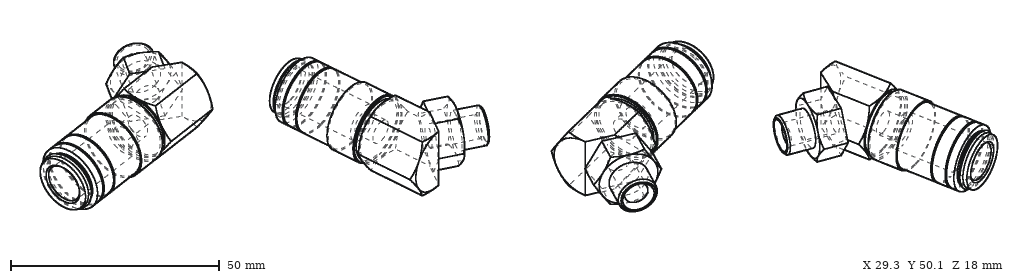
import cadquery as cq
import math

BODY_HEX_FLATS = 17.05
BODY_HEX_START = 27.95
BODY_HEX_END = 45.0
CHAMFER_ANGLE = 30.0

TAIL_RADIUS = 7.1
TAIL_NECK_RADIUS = 7.0
RIDGE_RADIUS = 7.55
RIDGE_START = 1.1
RIDGE_CENTER = 1.65
RIDGE_END = 2.3
SLEEVE_START = 2.75
SLEEVE_RADIUS = 8.55
COLLAR_START = 18.7
COLLAR_END = 26.75
COLLAR_RADIUS = 8.99
COLLAR_CHAMFER = 0.25
NECK_RADIUS = 8.0
GROOVE_CENTERS = (5.05, 9.05)
GROOVE_WIDTH = 0.3
GROOVE_DEPTH = 0.15

BORE_RADIUS = 4.8
BORE_CHAMFER = 0.45
BORE_DEPTH = 22.55
PASSAGE_RADIUS = 3.05

OVERALL_LENGTH = 50.1
BRANCH_ANGLE = 36.0
BRANCH_HEX_FLATS = 14.95
BRANCH_HEX_START = 6.85
BRANCH_HEX_END = 13.75
SPIGOT_RADIUS = 4.95
SPIGOT_END = 20.85
SPIGOT_CHAMFER = 0.5
BRANCH_BORE_RADIUS = 2.95
SPIGOT_CONE_RADIUS = 4.0
SPIGOT_CONE_DEPTH = 1.55

angle = math.radians(BRANCH_ANGLE)
branch_direction = cq.Vector(-math.cos(angle), math.sin(angle), 0)

shoulder_rise = (SPIGOT_END - SPIGOT_CHAMFER) * math.sin(angle) + SPIGOT_RADIUS * math.cos(angle)
bend_y = OVERALL_LENGTH - shoulder_rise
bend_point = cq.Vector(0, bend_y, 0)


def main_plane(y):
    return cq.Plane(origin=(0, y, 0), xDir=(1, 0, 0), normal=(0, 1, 0))


def branch_plane(distance):
    """Plane across the branch, with its local X lying in the XY plane."""
    return cq.Plane(
        origin=(bend_point + branch_direction * distance).toTuple(),
        xDir=(math.sin(angle), math.cos(angle), 0),
        normal=branch_direction.toTuple(),
    )


def hexagon(plane, flats, length, chamfer_start):
    """Hexagonal prism, corners on local X, with conical end chamfers to the flats."""
    face_radius = flats / 2
    corner_radius = face_radius / math.cos(math.pi / 6)
    drop = (corner_radius - face_radius) * math.tan(math.radians(CHAMFER_ANGLE))
    prism = cq.Workplane(plane).polygon(6, 2 * corner_radius).extrude(length)
    if chamfer_start:
        profile = [(0, 0), (face_radius, 0), (corner_radius, drop)]
    else:
        profile = [(0, 0), (corner_radius, 0)]
    profile += [(corner_radius, length - drop), (face_radius, length), (0, length)]
    return prism.intersect(revolved(plane, profile))


def revolved(plane, profile):
    """Turn (radius, distance) points around the normal of the plane."""
    section_plane = cq.Plane(origin=plane.origin, xDir=plane.xDir, normal=-plane.yDir)
    return cq.Workplane(section_plane).polyline(profile).close().revolve(360, (0, 0), (0, 1))


def turned_body():
    """Ridged tail, grooved sleeve, collar and neck."""
    profile = [
        (0, 0),
        (TAIL_RADIUS, 0),
        (TAIL_RADIUS, RIDGE_START),
        (RIDGE_RADIUS, RIDGE_CENTER),
        (TAIL_NECK_RADIUS, RIDGE_END),
        (TAIL_NECK_RADIUS, SLEEVE_START),
        (SLEEVE_RADIUS, SLEEVE_START),
        (SLEEVE_RADIUS, COLLAR_START),
        (COLLAR_RADIUS, COLLAR_START),
        (COLLAR_RADIUS, COLLAR_END - COLLAR_CHAMFER),
        (COLLAR_RADIUS - COLLAR_CHAMFER, COLLAR_END),
        (NECK_RADIUS, COLLAR_END),
        (NECK_RADIUS, BODY_HEX_START),
        (0, BODY_HEX_START),
    ]
    body = revolved(main_plane(0), profile)
    for center in GROOVE_CENTERS:
        groove = (
            cq.Workplane(main_plane(center - GROOVE_WIDTH / 2))
            .circle(SLEEVE_RADIUS + GROOVE_DEPTH)
            .circle(SLEEVE_RADIUS - GROOVE_DEPTH)
            .extrude(GROOVE_WIDTH)
        )
        body = body.cut(groove)
    return body


def body_hexagon():
    """Body hexagon, trimmed by the plane on which the branch hexagon sits."""
    block = hexagon(
        main_plane(BODY_HEX_START), BODY_HEX_FLATS, BODY_HEX_END - BODY_HEX_START, chamfer_start=True
    )
    trim_size = 4 * BODY_HEX_FLATS
    trim = cq.Workplane(branch_plane(BRANCH_HEX_START)).rect(trim_size, trim_size).extrude(trim_size)
    return block.cut(trim)


def branch():
    """Hexagon and chamfered spigot on the inclined axis."""
    nut = hexagon(
        branch_plane(BRANCH_HEX_START),
        BRANCH_HEX_FLATS,
        BRANCH_HEX_END - BRANCH_HEX_START,
        chamfer_start=False,
    )
    spigot = (
        cq.Workplane(branch_plane(BRANCH_HEX_START))
        .circle(SPIGOT_RADIUS)
        .extrude(SPIGOT_END - BRANCH_HEX_START)
        .faces(cq.selectors.DirectionMinMaxSelector(branch_direction))
        .chamfer(SPIGOT_CHAMFER)
    )
    return nut.union(spigot)


def main_bore():
    """Blind stepped bore with a chamfered mouth."""
    profile = [
        (0, 0),
        (BORE_RADIUS + BORE_CHAMFER, 0),
        (BORE_RADIUS, BORE_CHAMFER),
        (BORE_RADIUS, BORE_DEPTH),
        (PASSAGE_RADIUS, BORE_DEPTH),
        (PASSAGE_RADIUS, BODY_HEX_START),
        (0, BODY_HEX_START),
    ]
    return revolved(main_plane(0), profile)


def branch_bore():
    """Blind bore through the spigot and nut, opening in a cone."""
    cone_bottom = SPIGOT_END - SPIGOT_CONE_DEPTH
    profile = [
        (0, BRANCH_HEX_START),
        (BRANCH_BORE_RADIUS, BRANCH_HEX_START),
        (BRANCH_BORE_RADIUS, cone_bottom),
        (SPIGOT_CONE_RADIUS, SPIGOT_END),
        (0, SPIGOT_END),
    ]
    return revolved(branch_plane(0), profile)


result = turned_body().union(body_hexagon()).union(branch())
result = result.cut(main_bore()).cut(branch_bore())